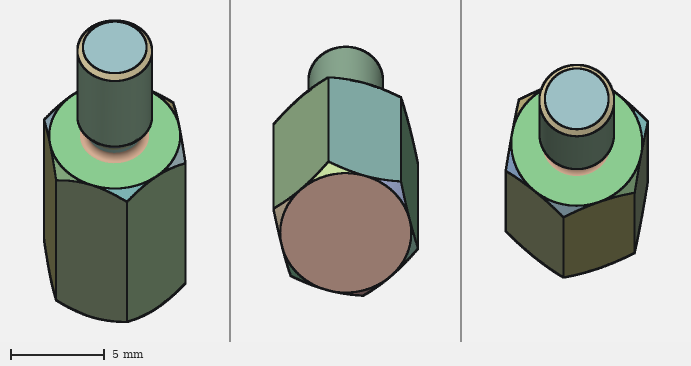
import cadquery as cq
import math

across_flats = 7.0
across_corners = across_flats / math.cos(math.pi / 6)
body_height = 12.0
total_height = 20.0

stud_radius = 4.0 / 2
stud_tip_chamfer = 0.3
neck_radius = 2.9 / 2
base_fillet = 0.4
neck_straight_end = body_height + 0.65
neck_blend_radius = 0.5
neck_flare_angle = math.radians(30)


def hex_body():
    """Hexagonal prism with both ends turned down at 45 degrees to the inscribed circle."""
    prism = cq.Workplane("XY").polygon(6, across_corners).extrude(body_height)
    corner_chamfer = (across_corners - across_flats) / 2
    turned_envelope = (
        cq.Workplane("XY")
        .circle(across_corners / 2)
        .extrude(body_height)
        .edges()
        .chamfer(corner_chamfer)
    )
    return prism.intersect(turned_envelope)


def blend_point(angle):
    """Point (radius, height) on the blend between the straight neck and its flare."""
    return (
        neck_radius + neck_blend_radius * (1 - math.cos(angle)),
        neck_straight_end + neck_blend_radius * math.sin(angle),
    )


def stud():
    """Revolved stud: filleted foot, straight neck, conical flare and chamfered tip."""
    foot_radius = neck_radius + base_fillet
    foot_fillet_center = (foot_radius, body_height + base_fillet)
    foot_arc_offset = base_fillet * math.sqrt(0.5)
    foot_arc_middle = (foot_fillet_center[0] - foot_arc_offset, foot_fillet_center[1] - foot_arc_offset)

    flare_start = blend_point(neck_flare_angle)
    flare_end_height = flare_start[1] + (stud_radius - flare_start[0]) / math.tan(neck_flare_angle)

    profile = (
        cq.Workplane("XZ")
        .moveTo(0, body_height / 2)
        .lineTo(foot_radius, body_height / 2)
        .lineTo(foot_radius, body_height)
        .threePointArc(foot_arc_middle, (neck_radius, body_height + base_fillet))
        .lineTo(neck_radius, neck_straight_end)
        .threePointArc(blend_point(neck_flare_angle / 2), flare_start)
        .lineTo(stud_radius, flare_end_height)
        .lineTo(stud_radius, total_height - stud_tip_chamfer)
        .lineTo(stud_radius - stud_tip_chamfer, total_height)
        .lineTo(0, total_height)
        .close()
    )
    return profile.revolve(360, (0, 0, 0), (0, 1, 0))


result = hex_body().union(stud())